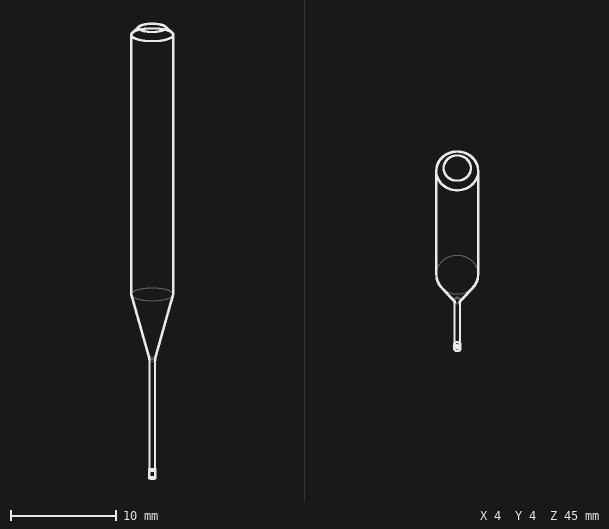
import cadquery as cq
import math

overall_length = 45.0
cone_half_angle = 15.0

cutter_radius = 0.3
cutter_length = 0.8

neck_radius = 0.28
neck_top_taper = 0.25
reach = 12.0

shank_radius = 2.0
chamfer_size = 0.7

cone_slope = math.tan(math.radians(cone_half_angle))
neck_bottom = cutter_length + (cutter_radius - neck_radius) / cone_slope
neck_top = reach - neck_top_taper
cone_top = reach + (shank_radius - cutter_radius) / cone_slope
chamfer_bottom = overall_length - chamfer_size


def turned(outline):
    """Revolve a closed outline of (radius, height) points about Z."""
    axis_start = (0, 0)
    axis_end = (0, 1)
    return cq.Workplane("XZ").polyline(outline).close().revolve(360, axis_start, axis_end)


def make_cutting_head():
    """Plain cylinder that envelopes the cutting edges."""
    return turned([
        (0, 0),
        (cutter_radius, 0),
        (cutter_radius, cutter_length),
        (0, cutter_length),
    ])


def make_shank():
    """Neck, cone and chamfered clamping cylinder as one body, resting on the head."""
    return turned([
        (0, cutter_length),
        (cutter_radius, cutter_length),
        (neck_radius, neck_bottom),
        (neck_radius, neck_top),
        (cutter_radius, reach),
        (shank_radius, cone_top),
        (shank_radius, chamfer_bottom),
        (shank_radius - chamfer_size, overall_length),
        (0, overall_length),
    ])


cutting_head = make_cutting_head()
shank = make_shank()

result = cq.Compound.makeCompound([cutting_head.val(), shank.val()])